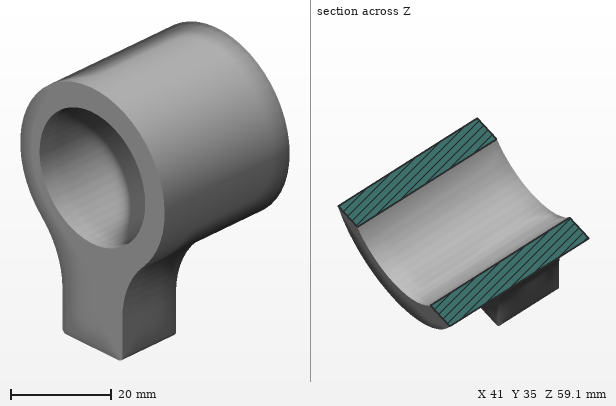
import cadquery as cq
import math

total_height = 59.15
ring_diameter = 41.0
bore_diameter = 30.0
ring_length = 35.0
tab_thickness = 15.0
tab_width = 17.0
blend_radius = 20.0
corner_radius = 1.0

ring_radius = ring_diameter / 2
half_width = tab_width / 2
tab_bottom = ring_radius - total_height

center_distance = ring_radius + blend_radius
blend_x = half_width + blend_radius
blend_z = -math.sqrt(center_distance**2 - blend_x**2)
touch_x = blend_x * ring_radius / center_distance
touch_z = blend_z * ring_radius / center_distance
mid_angle = (math.pi + math.atan2(touch_z - blend_z, touch_x - blend_x)) / 2
mid_x = blend_x + blend_radius * math.cos(mid_angle)
mid_z = blend_z + blend_radius * math.sin(mid_angle)


def make_ring():
    """Cylinder with its front face at Y = 0, extending toward +Y."""
    return cq.Workplane("XZ").circle(ring_radius).extrude(-ring_length)


def make_tab():
    """Flat tab hanging below the ring, flush with its front face."""
    tab = (
        cq.Workplane("XZ")
        .moveTo(0, 0)
        .lineTo(touch_x, touch_z)
        .threePointArc((mid_x, mid_z), (half_width, blend_z))
        .lineTo(half_width, tab_bottom)
        .lineTo(-half_width, tab_bottom)
        .lineTo(-half_width, blend_z)
        .threePointArc((-mid_x, mid_z), (-touch_x, touch_z))
        .close()
        .extrude(-tab_thickness)
    )
    return tab.faces("<Z").edges("|Y").fillet(corner_radius)


bore = cq.Workplane("XZ").circle(bore_diameter / 2).extrude(-ring_length)

result = make_ring().union(make_tab()).cut(bore)